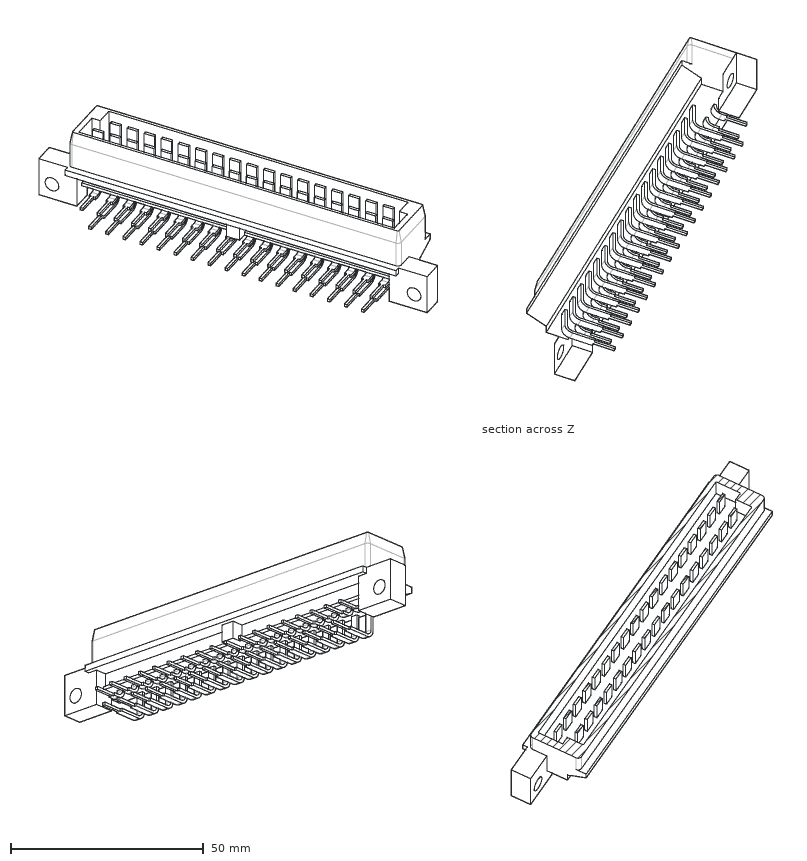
import cadquery as cq
import math

overall_length = 114.0

shroud_length = 97.1
shroud_width = 15.0
shroud_centre_y = -0.1
shroud_corner_radius = 1.0
shroud_straight_height = 7.2
shroud_taper_height = 3.4
shroud_taper_inset = 0.7
shroud_height = shroud_straight_height + shroud_taper_height

socket_floor = 0.0
socket_front = -6.2
socket_step = 1.0
socket_back = 5.8
socket_front_length = 92.6
socket_back_length = 87.8

flange_thickness = 1.7
flange_front = -9.6
flange_back = 9.3
base_back = 3.8
base_slope_bottom = -4.2
base_front = -4.8
base_lip_height = 0.9
base_lip_front = -5.6
base_bottom = -6.5

ear_front = -8.2
ear_back = -2.4
ear_length = 11.2
ear_height = 11.4
ear_hole_diameter = 4.0
ear_hole_inset = 3.9
ear_hole_drop = 6.8

rib_width = 3.9

front_pin_count = 18
back_pin_count = front_pin_count - 1
back_row_span = 80.0
pin_pitch = back_row_span / (back_pin_count - 1)
front_row_y = -2.5
back_row_y = 2.4
blade_width = 3.0
blade_thickness = 0.8
blade_top = 10.0
pin_thickness = 0.8
pin_width = 1.9
tip_width = 0.8
pin_inner_radius = 1.5
pin_wide_end = -5.9
pin_tip_end = -11.9
front_pin_bottom = -9.3
back_pin_bottom = -14.5
pin_embed = 1.1


def block(x_range, y_range, z_range):
    """Axis-aligned box between the given limits."""
    size = [high - low for low, high in (x_range, y_range, z_range)]
    corner = (x_range[0], y_range[0], z_range[0])
    return cq.Workplane("XY").box(*size, centered=False).translate(corner)


def centred(length):
    return (-length / 2, length / 2)


def make_shroud():
    """Round-cornered wall whose upper part tapers inward."""
    straight = (
        cq.Workplane("XY")
        .box(shroud_length, shroud_width, shroud_straight_height, centered=(True, True, False))
        .edges("|Z")
        .fillet(shroud_corner_radius)
    )
    taper = math.degrees(math.atan2(shroud_taper_inset, shroud_taper_height))
    rim = straight.faces(">Z").wires().toPending()
    tapered = rim.extrude(shroud_taper_height, taper=taper, combine=False)
    return straight.union(tapered).translate((0, shroud_centre_y, 0))


def make_base():
    """Flange, base and the lip along its lower front edge as one constant section along X."""
    lip_top = base_bottom + base_lip_height
    section = [
        (flange_front, 0),
        (flange_back, 0),
        (flange_back, -flange_thickness),
        (base_back, base_slope_bottom),
        (base_back, base_bottom),
        (base_lip_front, base_bottom),
        (base_lip_front, lip_top),
        (base_front, lip_top),
        (base_front, -flange_thickness),
        (flange_front, -flange_thickness),
    ]
    return cq.Workplane("YZ").polyline(section).close().extrude(shroud_length / 2, both=True)


def make_rib():
    return block(centred(rib_width), (ear_front, base_front), (base_bottom, -flange_thickness))


def make_socket():
    """Cavity that is longer along the front row than along the back row."""
    depth_range = (socket_floor, shroud_height)
    front = block(centred(socket_front_length), (socket_front, socket_step), depth_range)
    back = block(centred(socket_back_length), (socket_front, socket_back), depth_range)
    return front.union(back)


def make_ear(side):
    """Mounting ear at the -X (side = -1) or +X (side = 1) end."""
    outer = side * overall_length / 2
    inner = outer - side * ear_length
    ear = block(sorted((outer, inner)), (ear_front, ear_back), (-ear_height, 0))
    hole = (
        cq.Workplane("XZ", origin=(outer - side * ear_hole_inset, ear_back, -ear_hole_drop))
        .circle(ear_hole_diameter / 2)
        .extrude(ear_back - ear_front)
    )
    return ear.cut(hole)


def make_contact(row_y, pin_bottom):
    """Blade in the socket plus the bent solder pin below it, at X = 0."""
    y_range = (row_y - blade_thickness / 2, row_y + blade_thickness / 2)
    blade = block(centred(blade_width), y_range, (socket_floor - pin_embed, blade_top))

    front = row_y - pin_thickness / 2
    back = row_y + pin_thickness / 2
    pin_top = pin_bottom + pin_thickness
    bend_y = front - pin_inner_radius
    bend_z = pin_top + pin_inner_radius
    start = base_bottom + pin_embed
    outer_radius = pin_inner_radius + pin_thickness
    pin = (
        cq.Workplane("YZ")
        .moveTo(back, start)
        .lineTo(back, bend_z)
        .radiusArc((bend_y, pin_bottom), outer_radius)
        .lineTo(pin_wide_end, pin_bottom)
        .lineTo(pin_wide_end, pin_top)
        .lineTo(bend_y, pin_top)
        .radiusArc((front, bend_z), -pin_inner_radius)
        .lineTo(front, start)
        .close()
        .extrude(pin_width / 2, both=True)
    )
    tip = block(centred(tip_width), (pin_tip_end, pin_wide_end), (pin_bottom, pin_top))
    return [blade.val(), pin.union(tip).val()]


def make_contact_row(count, row_y, pin_bottom):
    """Contacts spread evenly about X = 0."""
    contact = make_contact(row_y, pin_bottom)
    first_x = -(count - 1) * pin_pitch / 2
    places = [cq.Vector(first_x + index * pin_pitch, 0, 0) for index in range(count)]
    return [shape.translate(place) for place in places for shape in contact]


body = make_base().union(make_shroud()).union(make_rib())
for side in (-1, 1):
    body = body.union(make_ear(side))
body = body.cut(make_socket())

contacts = make_contact_row(front_pin_count, front_row_y, front_pin_bottom)
contacts += make_contact_row(back_pin_count, back_row_y, back_pin_bottom)
result = cq.Workplane("XY").newObject([body.val().fuse(*contacts)])